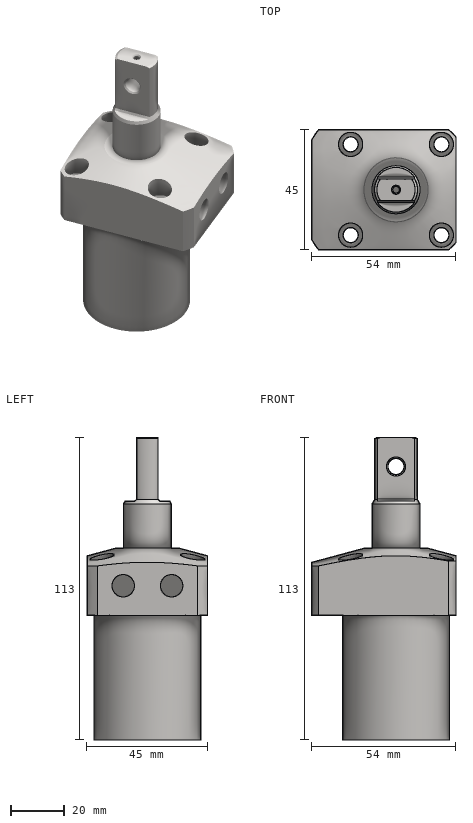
import cadquery as cq
import math

total_height = 113.0
barrel_height = 46.5
housing_top = 71.6

barrel_radius = 40.0 / 2
head_left = 31.5
head_right = 22.5
head_half_width = 22.5
left_corner_radius = 36.6
right_corner_radius = 29.8
top_flat_radius = 12.0
top_slope = 15.0
cone_margin = 1.1

mount_offset = 17.0
mount_hole_diameter = 5.5
counterbore_diameter = 9.0
counterbore_floor = 61.9

port_diameter = 8.4
port_offset = 9.0
port_height = 57.6
port_depth = 11.3

rod_radius = 18.0 / 2
neck_radius = 8.0
shoulder_start = 88.1
shoulder_end = 89.8
tip_chamfer_width = 0.9
tip_chamfer_height = 0.5
tongue_thickness = 8.0
tongue_base = 89.3
tongue_base_chamfer = 0.7

pin_hole_diameter = 6.0
pin_hole_chamfer = 0.6
pin_hole_height = 102.2
tip_hole_diameter = 2.5
tip_hole_chamfer = 0.5
tip_hole_depth = 5.6


def corner_x(radius):
    """X where a corner arc about the axis meets the front or back face."""
    return math.sqrt(radius**2 - head_half_width**2)


def corner_y(radius, side):
    """Y where a corner arc about the axis meets a side face."""
    return math.sqrt(radius**2 - side**2)


def corner_middle(x_side, y_side, radius, side):
    """Middle point of the corner arc in the quadrant given by the two signs."""
    start_angle = math.atan2(corner_y(radius, side), side)
    end_angle = math.atan2(head_half_width, corner_x(radius))
    angle = (start_angle + end_angle) / 2
    return (x_side * radius * math.cos(angle), y_side * radius * math.sin(angle))


def make_head():
    """Rectangular head with axis-centred corner arcs and a conical top."""
    left_x = corner_x(left_corner_radius)
    left_y = corner_y(left_corner_radius, head_left)
    right_x = corner_x(right_corner_radius)
    right_y = corner_y(right_corner_radius, head_right)
    block = (
        cq.Workplane("XY", origin=(0, 0, barrel_height))
        .moveTo(-left_x, -head_half_width)
        .lineTo(right_x, -head_half_width)
        .threePointArc(corner_middle(1, -1, right_corner_radius, head_right), (head_right, -right_y))
        .lineTo(head_right, right_y)
        .threePointArc(corner_middle(1, 1, right_corner_radius, head_right), (right_x, head_half_width))
        .lineTo(-left_x, head_half_width)
        .threePointArc(corner_middle(-1, 1, left_corner_radius, head_left), (-head_left, left_y))
        .lineTo(-head_left, -left_y)
        .threePointArc(corner_middle(-1, -1, left_corner_radius, head_left), (-left_x, -head_half_width))
        .close()
        .extrude(housing_top - barrel_height)
    )
    cone_radius = left_corner_radius + cone_margin
    cone_drop = (cone_radius - top_flat_radius) * math.tan(math.radians(top_slope))
    envelope = (
        cq.Workplane("XZ")
        .moveTo(0, barrel_height)
        .lineTo(cone_radius, barrel_height)
        .lineTo(cone_radius, housing_top - cone_drop)
        .lineTo(top_flat_radius, housing_top)
        .lineTo(0, housing_top)
        .close()
        .revolve(360, (0, 0), (0, 1))
    )
    return block.intersect(envelope)


def make_mounting_holes():
    """Four vertical through holes with flat-bottomed counterbores."""
    pattern = 2 * mount_offset
    holes = (
        cq.Workplane("XY", origin=(0, 0, barrel_height))
        .rect(pattern, pattern, forConstruction=True)
        .vertices()
        .circle(mount_hole_diameter / 2)
        .extrude(housing_top - barrel_height)
    )
    counterbores = (
        cq.Workplane("XY", origin=(0, 0, counterbore_floor))
        .rect(pattern, pattern, forConstruction=True)
        .vertices()
        .circle(counterbore_diameter / 2)
        .extrude(housing_top - counterbore_floor)
    )
    return holes.union(counterbores)


def make_ports():
    """Two blind ports entering the left face along +X."""
    return (
        cq.Workplane("YZ", origin=(-head_left, 0, port_height))
        .pushPoints([(-port_offset, 0), (port_offset, 0)])
        .circle(port_diameter / 2)
        .extrude(port_depth)
    )


def make_housing():
    """Cylindrical barrel and mounting head as one solid."""
    barrel = cq.Workplane("XY").circle(barrel_radius).extrude(barrel_height)
    return barrel.union(make_head()).cut(make_mounting_holes()).cut(make_ports())


def make_rod_blank():
    """Turned rod with a tapered shoulder, a neck and a chamfered tip."""
    return (
        cq.Workplane("XZ")
        .moveTo(0, housing_top)
        .lineTo(rod_radius, housing_top)
        .lineTo(rod_radius, shoulder_start)
        .lineTo(neck_radius, shoulder_end)
        .lineTo(neck_radius, total_height - tip_chamfer_height)
        .lineTo(neck_radius - tip_chamfer_width, total_height)
        .lineTo(0, total_height)
        .close()
        .revolve(360, (0, 0), (0, 1))
    )


def make_flat_cutter():
    """Front-side cutter that leaves a flat with a chamfer at its base."""
    flat_y = -tongue_thickness / 2
    return (
        cq.Workplane("YZ")
        .moveTo(flat_y, total_height)
        .lineTo(flat_y, tongue_base + tongue_base_chamfer)
        .lineTo(flat_y - tongue_base_chamfer, tongue_base)
        .lineTo(-rod_radius, tongue_base)
        .lineTo(-rod_radius, total_height)
        .close()
        .extrude(rod_radius, both=True)
    )


def make_chamfered_hole(mouth, direction, diameter, depth, chamfer):
    """Blind hole tool that starts at its mouth and narrows through a 45 degree chamfer."""
    radius = diameter / 2
    start = cq.Vector(*mouth)
    axis = cq.Vector(*direction)
    bore = cq.Solid.makeCylinder(radius, depth, start, axis)
    countersink = cq.Solid.makeCone(radius + chamfer, radius, chamfer, start, axis)
    return bore.fuse(countersink)


def make_rod():
    """Rod with a flat tongue, a cross hole and a small axial hole in the tip."""
    rod = make_rod_blank()
    flat_cutter = make_flat_cutter()
    rod = rod.cut(flat_cutter).cut(flat_cutter.mirror("XZ"))
    for side in (-1, 1):
        mouth = (0, side * tongue_thickness / 2, pin_hole_height)
        rod = rod.cut(cq.Workplane(obj=make_chamfered_hole(
            mouth, (0, -side, 0), pin_hole_diameter, tongue_thickness, pin_hole_chamfer
        )))
    tip_hole = make_chamfered_hole(
        (0, 0, total_height), (0, 0, -1), tip_hole_diameter, tip_hole_depth, tip_hole_chamfer
    )
    return rod.cut(cq.Workplane(obj=tip_hole))


housing = make_housing()
rod = make_rod()
result = cq.Compound.makeCompound([housing.val(), rod.val()])